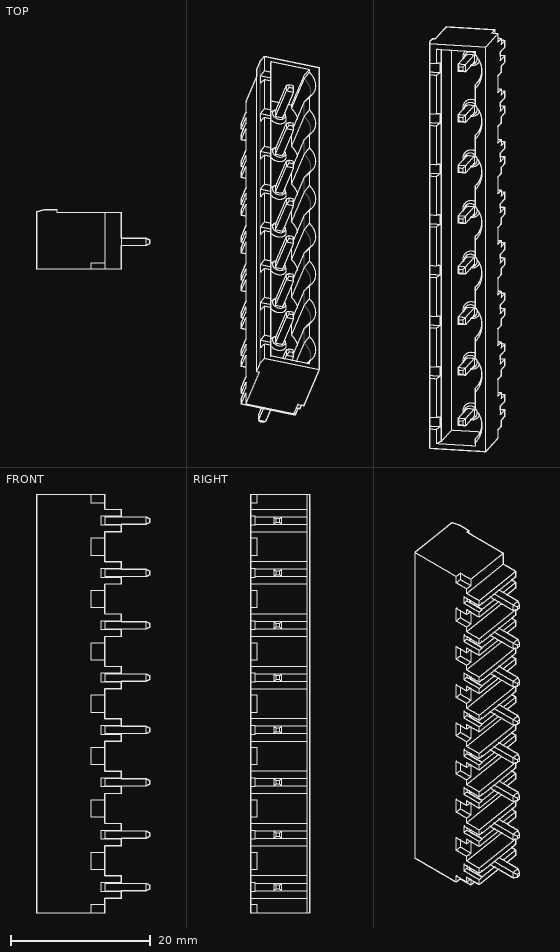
import cadquery as cq

PIN_COUNT = 8
PITCH = 7.5
LENGTH = PIN_COUNT * PITCH
PIN_HEIGHTS = [PITCH * (i + 0.5) for i in range(PIN_COUNT)]

BODY_DEPTH = 9.8
BODY_WIDTH = 8.1
END_WALL = 0.8

LIP_WIDTH = 8.5
LIP_RAMP = 1.1
LIP_FLARE = 0.3
LIP_END = 2.95

CAVITY_DEPTH = 7.8
LEAD_IN_DEPTH = 1.4
LEAD_IN_FLARE = 0.35
CAVITY_LOW = 1.85
CAVITY_HIGH = 6.85
CAVITY_LEDGE = 0.05
SCALLOP_Y = 4.15
SCALLOP_RADIUS = 3.25

KEY_SLOT_DEPTH = 1.0
KEY_SLOT_FLOOR_HEIGHT = 1.45
KEY_SLOT_MOUTH_HEIGHT = 1.75

STANDOFF_END = 12.1
STANDOFF_HEIGHT = 3.25
RECESS_START = 9.25
RECESS_WIDTH = 0.65
RECESS_HEIGHT = 1.25

NOTCH_START = 7.8
NOTCH_WIDTH = 0.9
NOTCH_HEIGHT = 2.45

PIN_Y = 3.9
PIN_SIZE = 1.1
PIN_START = 1.15
PIN_END = 16.2
PIN_TIP_LENGTH = 0.55
PIN_TIP_SIZE = 0.55
COLLAR_BASE_RADIUS = 1.25
COLLAR_TOP_RADIUS = 0.95
COLLAR_HEIGHT = 0.6


def box(x_range, y_range, z_range):
    """Box spanning the given (start, end) ranges."""
    size = [end - start for start, end in (x_range, y_range, z_range)]
    corner = (x_range[0], y_range[0], z_range[0])
    return cq.Workplane("XY").box(*size, centered=False).translate(corner)


def around(centre, size):
    """Range of the given size centred on a position."""
    return (centre - size / 2, centre + size / 2)


def plane_at(x, z):
    """Sketch plane facing +X, centred on the pin axis at height z."""
    return cq.Workplane("YZ", origin=(x, PIN_Y, z))


def make_housing():
    profile = [
        (0, 0),
        (BODY_DEPTH, 0),
        (BODY_DEPTH, BODY_WIDTH),
        (LIP_END, BODY_WIDTH),
        (LIP_END, LIP_WIDTH),
        (LIP_RAMP, LIP_WIDTH),
        (0, LIP_WIDTH - LIP_FLARE),
    ]
    return cq.Workplane("XY").polyline(profile).close().extrude(LENGTH)


def make_cavity():
    lead_in_high = CAVITY_HIGH + CAVITY_LEDGE
    mouth_low = CAVITY_LOW - LEAD_IN_FLARE
    profile = [
        (0, mouth_low),
        (LEAD_IN_DEPTH, CAVITY_LOW),
        (CAVITY_DEPTH, CAVITY_LOW),
        (CAVITY_DEPTH, CAVITY_HIGH),
        (LEAD_IN_DEPTH, CAVITY_HIGH),
        (LEAD_IN_DEPTH, lead_in_high),
        (0, lead_in_high + LEAD_IN_FLARE),
    ]
    inner_length = LENGTH - 2 * END_WALL
    trough = cq.Workplane("XY", origin=(0, 0, END_WALL)).polyline(profile).close().extrude(inner_length)

    scallop_profile = [
        (0, 0),
        (0, SCALLOP_RADIUS + LEAD_IN_FLARE),
        (LEAD_IN_DEPTH, SCALLOP_RADIUS),
        (CAVITY_DEPTH, SCALLOP_RADIUS),
        (CAVITY_DEPTH, 0),
    ]
    scallop = cq.Workplane("XY").polyline(scallop_profile).close().revolve(360, (0, 0, 0), (1, 0, 0))
    limits = box((0, CAVITY_DEPTH), (0, SCALLOP_Y), (END_WALL, LENGTH - END_WALL))
    for z in PIN_HEIGHTS:
        trough = trough.union(scallop.translate((0, SCALLOP_Y, z)).intersect(limits))
    return trough


def make_key_slot(z):
    wall_thickness = LIP_WIDTH - CAVITY_HIGH
    wall_centre = (LIP_WIDTH + CAVITY_HIGH) / 2
    mouth = cq.Workplane("YZ", origin=(0, wall_centre, z)).rect(wall_thickness, KEY_SLOT_MOUTH_HEIGHT)
    return mouth.workplane(offset=KEY_SLOT_DEPTH).rect(wall_thickness, KEY_SLOT_FLOOR_HEIGHT).loft()


def make_standoff(z):
    return box((BODY_DEPTH, STANDOFF_END), (0, BODY_WIDTH), around(z, STANDOFF_HEIGHT))


def make_pin_slot(z):
    gap = box((BODY_DEPTH, STANDOFF_END), (0, BODY_WIDTH), around(z, PIN_SIZE))
    recess = box((RECESS_START, STANDOFF_END), (0, RECESS_WIDTH), around(z, RECESS_HEIGHT))
    return gap.union(recess)


def make_notch(z):
    return box((NOTCH_START, BODY_DEPTH), (0, NOTCH_WIDTH), around(z, NOTCH_HEIGHT))


def make_pin(z):
    shank_start = PIN_START + PIN_TIP_LENGTH
    shank_end = PIN_END - PIN_TIP_LENGTH
    pin = plane_at(shank_start, z).rect(PIN_SIZE, PIN_SIZE).extrude(shank_end - shank_start)
    for root, length in ((shank_start, -PIN_TIP_LENGTH), (shank_end, PIN_TIP_LENGTH)):
        tip_base = plane_at(root, z).rect(PIN_SIZE, PIN_SIZE)
        tip = tip_base.workplane(offset=length).rect(PIN_TIP_SIZE, PIN_TIP_SIZE).loft()
        pin = pin.union(tip)
    return pin


def make_collar(z):
    top = plane_at(CAVITY_DEPTH - COLLAR_HEIGHT, z).circle(COLLAR_TOP_RADIUS)
    return top.workplane(offset=COLLAR_HEIGHT).circle(COLLAR_BASE_RADIUS).loft()


result = make_housing().cut(make_cavity())
for pin_z in PIN_HEIGHTS:
    result = result.cut(make_key_slot(pin_z))
    result = result.union(make_standoff(pin_z))
    result = result.cut(make_pin_slot(pin_z))
    result = result.union(make_collar(pin_z))
    result = result.union(make_pin(pin_z))
for gap_index in range(PIN_COUNT + 1):
    result = result.cut(make_notch(gap_index * PITCH))